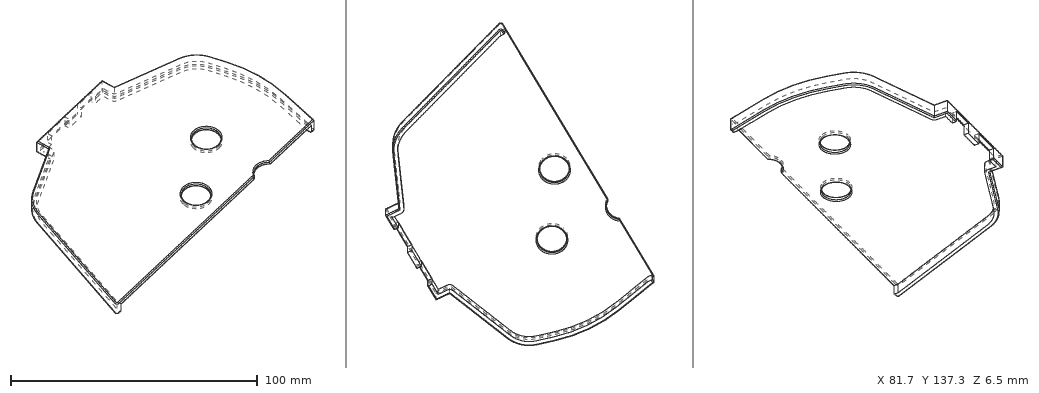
import cadquery as cq
import math

length_x = 81.7
length_y = 137.3
height = 6.5

plate_thickness = 2.0
wall_thickness = 2.0
edge_chamfer = 0.48

tab_depth = 6.2
tab_low_y = 52.7
tab_high_y = 96.4

high_corner = (19.6, 132.0)
low_corner_x = 18.4
low_edge_slope = 0.375
ridge_x = 48.6
ridge_slope = 0.25
ridge_radius = 61.8
high_corner_radius = 13.6
low_corner_radius = 15.7
tip_radius = 1.0

ridge_angle = math.atan(ridge_slope)
ridge_y = length_y + ridge_radius * (1 / math.cos(ridge_angle) - 1)
open_end_high_y = ridge_y - ridge_slope * (length_x - ridge_x)

low_edge_angle = math.atan(low_edge_slope)
tip_y = tip_radius * (1 - 1 / math.cos(low_edge_angle) - low_edge_slope)
tip = (length_x, tip_y)
low_corner = (low_corner_x, tip_y + low_edge_slope * (length_x - low_corner_x))

hole_diameter = 12.0
hole_pitch = 31.9
first_hole_x = 53.3
first_hole_y = 96.3
hole_centers = [
    (first_hole_x, first_hole_y),
    (first_hole_x + hole_pitch, first_hole_y),
    (first_hole_x + hole_pitch / 2, first_hole_y - hole_pitch * math.sin(math.radians(60))),
]

opening_low_y = 60.0
opening_high_y = 89.1
opening_roof = 1.4
lug_low_y = 71.7
lug_high_y = 79.9


def outline_prism(depth):
    """Solid with the full outer outline, rising from Z = 0."""
    points = [
        (0, tab_low_y),
        (tab_depth, tab_low_y),
        low_corner,
        tip,
        (length_x, open_end_high_y),
        (ridge_x, ridge_y),
        high_corner,
        (tab_depth, tab_high_y),
        (0, tab_high_y),
    ]
    prism = cq.Workplane("XY").polyline(points).close().extrude(depth)
    roundings = [
        (low_corner, low_corner_radius),
        (tip, tip_radius),
        ((ridge_x, ridge_y), ridge_radius),
        (high_corner, high_corner_radius),
    ]
    for (x, y), radius in roundings:
        nearest = cq.selectors.NearestToPointSelector((x, y, depth / 2))
        prism = prism.edges("|Z").edges(nearest).fillet(radius)
    return prism


def cavity():
    """Space under the plate, inside the wall and open on the +X side."""
    depth = height - plate_thickness
    rim = outline_prism(depth).faces("<Z").wires().val()
    inner_wire = rim.offset2D(-wall_thickness)[0]
    inner = cq.Workplane("XY").add(inner_wire).toPending().extrude(depth)
    open_end = inner.faces(">X").wires().toPending().workplane().extrude(wall_thickness)
    return inner.union(open_end)


def hole_cutter(x, y):
    """Hole through the plate with both of its edges broken."""
    underside = height - plate_thickness
    radius = hole_diameter / 2
    wide_radius = radius + edge_chamfer
    profile = [
        (0, underside),
        (wide_radius, underside),
        (radius, underside + edge_chamfer),
        (radius, height - edge_chamfer),
        (wide_radius, height),
        (0, height),
    ]
    section = cq.Workplane("XZ").polyline(profile).close()
    return section.revolve(360, (0, 0), (0, 1)).translate((x, y, 0))


def wall_block(y_low, y_high):
    """Block filling the tab wall between two Y positions, from the rim to the opening's roof."""
    block = cq.Workplane("XY").box(wall_thickness, y_high - y_low, height - opening_roof, centered=False)
    return block.translate((0, y_low, 0))


result = outline_prism(height)
result = result.faces("<Z or >Z").edges().chamfer(edge_chamfer)
result = result.cut(cavity())
for x, y in hole_centers:
    result = result.cut(hole_cutter(x, y))

result = result.cut(wall_block(opening_low_y, opening_high_y))
result = result.union(wall_block(lug_low_y, lug_high_y))